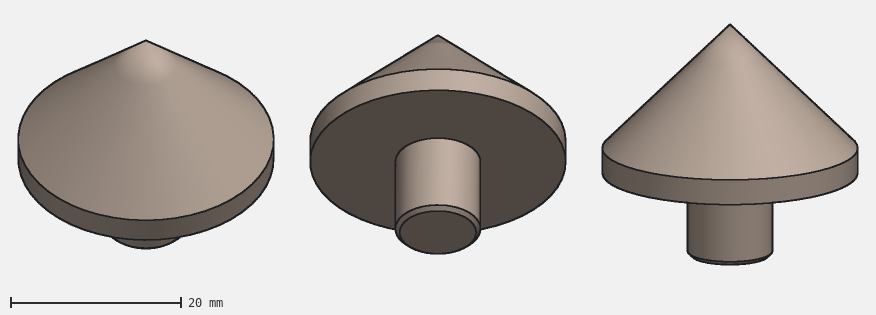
import cadquery as cq

head_diameter = 30.0
rim_height = 3.0
pin_diameter = 10.0
pin_length = 10.0
pin_chamfer = 0.5

head_radius = head_diameter / 2
pin_radius = pin_diameter / 2
cone_height = head_radius

half_section = (
    cq.Workplane("XZ")
    .moveTo(0, -pin_length)
    .lineTo(pin_radius - pin_chamfer, -pin_length)
    .lineTo(pin_radius, -pin_length + pin_chamfer)
    .lineTo(pin_radius, 0)
    .lineTo(head_radius, 0)
    .lineTo(head_radius, rim_height)
    .lineTo(0, rim_height + cone_height)
    .close()
)

result = half_section.revolve(360, (0, 0, 0), (0, 1, 0))